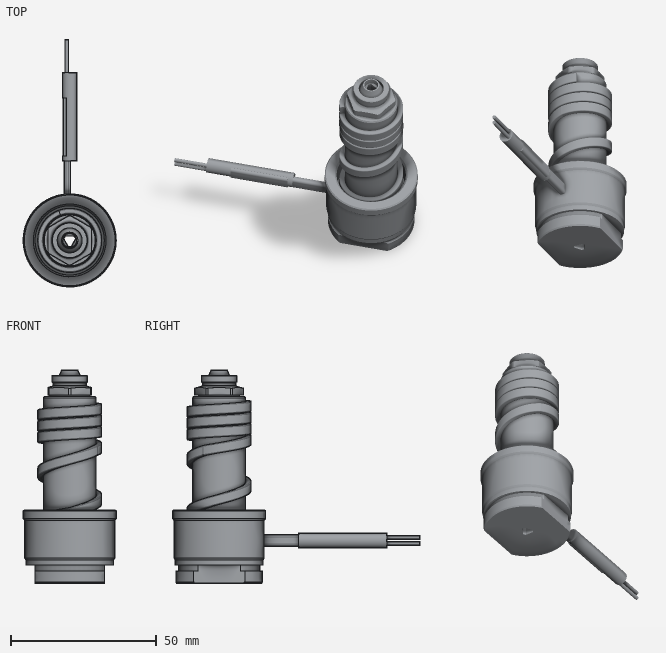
import cadquery as cq
import math

TOTAL_HEIGHT = 73.2

FOOT_RADIUS = 14.9
FOOT_HEIGHT = 4.2
FOOT_BEVEL_HEIGHT = 0.5
FOOT_BEVEL_WIDTH = 0.3
FOOT_ACROSS_FLATS = 24.0
NECK_RADIUS = 14.05
COLLAR_RADIUS = 15.1
COLLAR_BOTTOM = 6.2
COLLAR_TOP = 8.0
CUP_RADIUS = 15.5
CUP_BOTTOM = 8.75
CUP_TOP = 25.2
FLANGE_RADIUS = 16.0
FLANGE_BOTTOM = 22.3
FLANGE_UNDERCUT = 0.7
FLANGE_CHAMFER = 0.4
CUP_BORE_RADIUS = 11.9
CUP_BORE_CHAMFER = 0.6
CUP_BORE_FLOOR = 17.5

CORE_RADIUS = 9.1
CORE_TOP = 64.2
CORE_CHAMFER_WIDTH = 0.35
CORE_CHAMFER_HEIGHT = 0.5
HEX_ACROSS_FLATS = 15.0
HEX_CORNER_RADIUS = 8.45
HEX_BOTTOM = 64.6
HEX_CORNER_TOP = 67.0
HEX_CONE_TOP = 67.6
HEX_CONE_RADIUS = 6.25
HEX_NECK_RADIUS = 7.05
TIP_NECK_RADIUS = 5.75
TIP_NECK_BOTTOM = 67.9
TIP_NECK_TOP = 68.8
TIP_COLLAR_RADIUS = 6.1
TIP_COLLAR_BOTTOM = 69.2
TIP_COLLAR_TOP = 71.4
TIP_COLLAR_CHAMFER = 0.15
NOZZLE_TOP_RADIUS = 2.8
NOZZLE_BASE_RADIUS = 4.3
NOZZLE_BASE = 69.8

MOUTH_RADIUS = 2.4
MOUTH_DEPTH = 2.0
LOBE_RADIUS = 2.1
LOBE_SIDE_DISTANCE = 1.5

COIL_OUTER_RADIUS = 11.0
COIL_CLEARANCE = 0.05
COIL_INNER_RADIUS = CORE_RADIUS + COIL_CLEARANCE
COIL_MEAN_RADIUS = (COIL_OUTER_RADIUS + COIL_INNER_RADIUS) / 2
COIL_WIRE_HEIGHT = 3.5
COIL_WIRE_FILLET = 0.3
COIL_TOP_ANGLE = 110.0
COIL_TOP_CENTER = 61.05
CLOSED_PITCH = 3.9
OPEN_PITCH = 18.3
BLEND_PITCH = (CLOSED_PITCH + OPEN_PITCH) / 2
COIL_STRETCHES = [
    (CLOSED_PITCH, 1110.0),
    (BLEND_PITCH, 110.0),
    (OPEN_PITCH, 420.0),
    (BLEND_PITCH, 60.0),
    (CLOSED_PITCH, 360.0),
]
COIL_SEAM_TOLERANCE = 0.001

CABLE_Z = 14.7
CABLE_X = -0.8
CABLE_WIDTH = 2.3
CABLE_HEIGHT = 4.0
CABLE_FILLET = 0.75
CABLE_START = 14.0
SLEEVE_RADIUS = 2.5
SLEEVE_START = 27.3
SLEEVE_END = 57.6
WINDOW_START = 29.0
WINDOW_END = 49.0
WINDOW_PLANE = -1.1
PAD_FACE = -2.3
PAD_HEIGHT = 4.4
PAD_FILLET = 0.8
WIRE_X = -1.0
WIRE_RADIUS = 0.65
WIRE_SPACING = 2.1
WIRE_END = 69.0


def revolve(profile):
    """Solid of revolution about Z from (radius, z) points."""
    return cq.Workplane("XZ").polyline(profile).close().revolve(360, (0, 0), (0, 1))


def disc(radius, bottom, top):
    return cq.Workplane("XY").workplane(offset=bottom).circle(radius).extrude(top - bottom)


def along_y(start):
    """Workplane at y = start, centred on the cable height; a negative extrusion goes toward +Y."""
    return cq.Workplane("XZ", origin=(0, start, CABLE_Z))


def make_foot():
    foot = revolve([
        (0, 0),
        (FOOT_RADIUS - FOOT_BEVEL_WIDTH, 0),
        (FOOT_RADIUS, FOOT_BEVEL_HEIGHT),
        (FOOT_RADIUS, FOOT_HEIGHT),
        (NECK_RADIUS, FOOT_HEIGHT),
        (NECK_RADIUS, COLLAR_BOTTOM),
        (0, COLLAR_BOTTOM),
    ])
    flats = cq.Workplane("XY").rect(FOOT_ACROSS_FLATS, 2 * FOOT_RADIUS).extrude(COLLAR_BOTTOM)
    return foot.intersect(flats)


def make_cup():
    return revolve([
        (0, COLLAR_BOTTOM),
        (COLLAR_RADIUS, COLLAR_BOTTOM),
        (COLLAR_RADIUS, COLLAR_TOP),
        (CUP_RADIUS, CUP_BOTTOM),
        (CUP_RADIUS, FLANGE_BOTTOM - FLANGE_UNDERCUT),
        (FLANGE_RADIUS, FLANGE_BOTTOM),
        (FLANGE_RADIUS, CUP_TOP - FLANGE_CHAMFER),
        (FLANGE_RADIUS - FLANGE_CHAMFER, CUP_TOP),
        (CUP_BORE_RADIUS + CUP_BORE_CHAMFER, CUP_TOP),
        (CUP_BORE_RADIUS, CUP_TOP - CUP_BORE_CHAMFER),
        (CUP_BORE_RADIUS, CUP_BORE_FLOOR),
        (0, CUP_BORE_FLOOR),
    ])


def make_core():
    core = revolve([
        (0, CUP_BORE_FLOOR),
        (CORE_RADIUS, CUP_BORE_FLOOR),
        (CORE_RADIUS, CORE_TOP - CORE_CHAMFER_HEIGHT),
        (CORE_RADIUS - CORE_CHAMFER_WIDTH, CORE_TOP),
        (0, CORE_TOP),
    ])
    return core.union(disc(HEX_NECK_RADIUS, CORE_TOP, HEX_BOTTOM))


def make_hex():
    """Hexagon with corners on Y, trimmed by a turned blank with a conical top."""
    blank = revolve([
        (0, HEX_BOTTOM),
        (HEX_CORNER_RADIUS, HEX_BOTTOM),
        (HEX_CORNER_RADIUS, HEX_CORNER_TOP),
        (HEX_CONE_RADIUS, HEX_CONE_TOP),
        (0, HEX_CONE_TOP),
    ])
    corner_diameter = HEX_ACROSS_FLATS / math.cos(math.pi / 6)
    prism = (
        cq.Workplane("XY")
        .workplane(offset=HEX_BOTTOM)
        .transformed(rotate=(0, 0, 90))
        .polygon(6, corner_diameter)
        .extrude(HEX_CONE_TOP - HEX_BOTTOM)
    )
    return blank.intersect(prism)


def make_tip():
    return revolve([
        (0, HEX_CONE_TOP),
        (HEX_CONE_RADIUS, HEX_CONE_TOP),
        (TIP_NECK_RADIUS, TIP_NECK_BOTTOM),
        (TIP_NECK_RADIUS, TIP_NECK_TOP),
        (TIP_COLLAR_RADIUS, TIP_COLLAR_BOTTOM),
        (TIP_COLLAR_RADIUS, TIP_COLLAR_TOP - TIP_COLLAR_CHAMFER),
        (TIP_COLLAR_RADIUS - TIP_COLLAR_CHAMFER, TIP_COLLAR_TOP),
        (NOZZLE_BASE_RADIUS, TIP_COLLAR_TOP),
        (NOZZLE_BASE_RADIUS, NOZZLE_BASE),
        (NOZZLE_TOP_RADIUS, TOTAL_HEIGHT),
        (0, TOTAL_HEIGHT),
    ])


def make_bore():
    mouth = disc(MOUTH_RADIUS, TOTAL_HEIGHT - MOUTH_DEPTH, TOTAL_HEIGHT)
    triangle = (
        cq.Workplane("XY")
        .transformed(rotate=(0, 0, -90))
        .polygon(3, 4 * LOBE_SIDE_DISTANCE)
        .extrude(TOTAL_HEIGHT)
    )
    return mouth.union(disc(LOBE_RADIUS, 0, TOTAL_HEIGHT).intersect(triangle))


def coil_stretch(pitch, turn, bottom_angle, bottom_center):
    """Constant-pitch stretch of the coil, placed by its lower end."""
    helix = cq.Wire.makeHelix(pitch, pitch * turn / 360, COIL_MEAN_RADIUS)
    section = (
        cq.Sketch()
        .rect(COIL_OUTER_RADIUS - COIL_INNER_RADIUS, COIL_WIRE_HEIGHT)
        .vertices()
        .fillet(COIL_WIRE_FILLET)
    )
    stretch = (
        cq.Workplane("XZ", origin=(COIL_MEAN_RADIUS, 0, 0))
        .placeSketch(section)
        .sweep(cq.Workplane(obj=helix), isFrenet=True)
    )
    return stretch.rotate((0, 0, 0), (0, 0, 1), bottom_angle).translate((0, 0, bottom_center))


def make_coil():
    """Stretches joined end to end: their side faces and the two outer end faces sewn into one solid."""
    angle = COIL_TOP_ANGLE
    center = COIL_TOP_CENTER
    side_faces = []
    end_faces = []
    for pitch, turn in COIL_STRETCHES:
        angle -= turn
        center -= pitch * turn / 360
        stretch = coil_stretch(pitch, turn, angle, center)
        side_faces += stretch.faces("not %PLANE").vals()
        end_faces += stretch.faces("%PLANE").vals()
    end_faces.sort(key=lambda face: face.Center().z)
    skin = cq.occ_impl.shapes.shell(*side_faces, end_faces[0], end_faces[-1], tol=COIL_SEAM_TOLERANCE)
    return cq.Workplane(obj=cq.occ_impl.shapes.solid(skin))


def make_cable():
    sleeve = along_y(SLEEVE_START).circle(SLEEVE_RADIUS).extrude(SLEEVE_START - SLEEVE_END)
    window_depth = SLEEVE_RADIUS + WINDOW_PLANE
    window = (
        cq.Workplane("XY", origin=(-SLEEVE_RADIUS, WINDOW_START, CABLE_Z))
        .box(window_depth, WINDOW_END - WINDOW_START, 2 * SLEEVE_RADIUS, centered=(False, False, True))
    )
    jacket = (
        along_y(CABLE_START)
        .center(CABLE_X, 0)
        .rect(CABLE_WIDTH, CABLE_HEIGHT)
        .extrude(CABLE_START - WINDOW_END)
        .edges("|Y")
        .fillet(CABLE_FILLET)
    )
    pad = (
        cq.Workplane("XY", origin=(PAD_FACE, WINDOW_START, CABLE_Z))
        .box(-PAD_FACE, WINDOW_END - WINDOW_START, PAD_HEIGHT, centered=(False, False, True))
        .edges("|Y and <X")
        .fillet(PAD_FILLET)
    )
    wires = (
        along_y(WINDOW_END)
        .pushPoints([(WIRE_X, -WIRE_SPACING / 2), (WIRE_X, WIRE_SPACING / 2)])
        .circle(WIRE_RADIUS)
        .extrude(WINDOW_END - WIRE_END)
    )
    return sleeve.cut(window).union(pad).union(jacket).union(wires)


body = make_foot().union(make_cup()).union(make_core()).union(make_hex()).union(make_tip())
body = body.cut(make_bore())
body = body.union(make_cable())
result = body.union(make_coil(), clean=False)